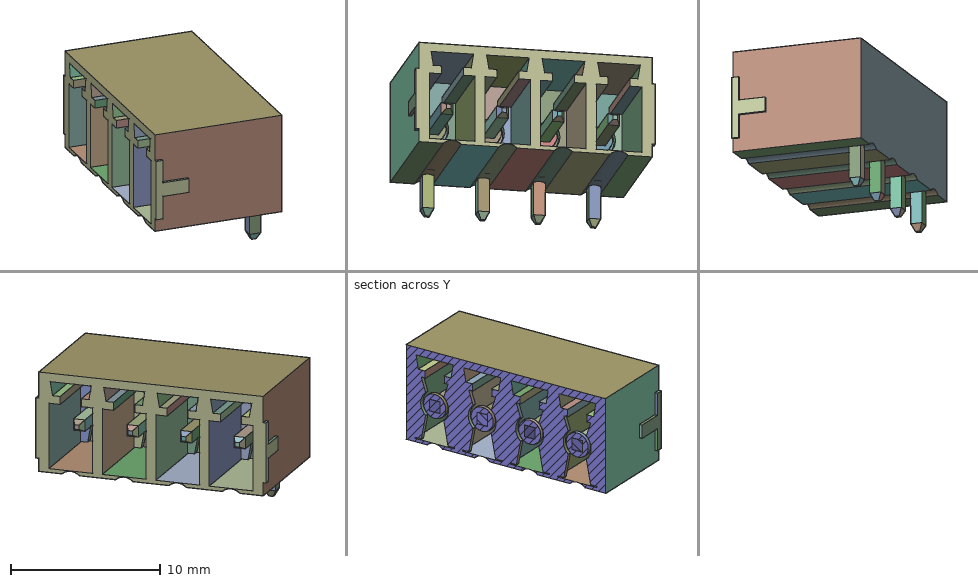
import cadquery as cq
import math


pin_count = 4
pitch = 3.81
pin_centers = [(i - (pin_count - 1) / 2) * pitch for i in range(pin_count)]

overall_width = 16.43
depth = 9.2
height = 7.0

ear_thickness = 0.21
ear_bar_depth = 0.5
ear_bar_bottom = 0.92
ear_bar_top = 5.16
ear_stem_depth = 2.38
ear_stem_height = 0.99
block_width = overall_width - 2 * ear_thickness

chamber_width = 3.12
chamber_bottom = 0.28
chamber_top = 4.88
neck_width = 1.51
neck_top = 5.44
keyway_bottom_width = 2.6
keyway_top_width = 2.92
keyway_top = 6.4
cavity_depth = 6.74

pad_thickness = 0.5
pad_bottom = 0.33
gap_end_width = 2.1
gap_waist_width = 1.41
gap_circle_diameter = 2.2

collar_diameter = 1.8

groove_diameter = 1.8
groove_height = 0.25

pin_size = 0.8
pin_tip_size = 0.31
pin_taper_length = 0.5
contact_z = 3.0
contact_tip_y = 1.2
leg_y = 8.03
leg_length = 2.61


def box(x_min, x_max, y_min, y_max, z_min, z_max):
    """Block given by its limits along each axis."""
    size = (x_max - x_min, y_max - y_min, z_max - z_min)
    return cq.Workplane("XY").box(*size, centered=False).translate((x_min, y_min, z_min))


def front_sketch(y):
    """Plane facing the mating side, with local axes X and Z; extrude backwards with a negative length."""
    return cq.Workplane("XZ", origin=(0, y, 0))


def make_ears():
    """T outlines spanning the full width, so that both ends stand proud of the block."""
    half = overall_width / 2
    ear_center = (ear_bar_bottom + ear_bar_top) / 2
    stem_bottom = ear_center - ear_stem_height / 2
    stem_top = ear_center + ear_stem_height / 2
    bar = box(-half, half, 0, ear_bar_depth, ear_bar_bottom, ear_bar_top)
    stem = box(-half, half, 0, ear_stem_depth, stem_bottom, stem_top)
    return bar.union(stem)


def make_pads():
    """Two pads that fill the chamber's back except for the hourglass gap and the circle in it."""
    pad_front = cavity_depth - pad_thickness
    half_chamber = chamber_width / 2
    half_end = gap_end_width / 2
    half_waist = gap_waist_width / 2
    circle_radius = gap_circle_diameter / 2
    waist_rise = math.sqrt(circle_radius**2 - half_waist**2)
    pad = (
        front_sketch(pad_front)
        .moveTo(half_chamber, pad_bottom)
        .lineTo(half_end, pad_bottom)
        .lineTo(half_waist, contact_z - waist_rise)
        .threePointArc((circle_radius, contact_z), (half_waist, contact_z + waist_rise))
        .lineTo(half_end, chamber_top)
        .lineTo(half_chamber, chamber_top)
        .close()
        .extrude(-pad_thickness)
    )
    return pad.union(pad.mirror("YZ"))


def make_collar():
    """Disc on the chamber's back wall, centred on the contact."""
    return (
        front_sketch(cavity_depth - pad_thickness)
        .center(0, contact_z)
        .circle(collar_diameter / 2)
        .extrude(-pad_thickness)
    )


def make_cavity():
    """Empty space of one position, around X = 0."""
    right_side = [
        (chamber_width / 2, chamber_bottom),
        (chamber_width / 2, chamber_top),
        (neck_width / 2, chamber_top),
        (neck_width / 2, neck_top),
        (keyway_bottom_width / 2, neck_top),
        (keyway_top_width / 2, keyway_top),
    ]
    left_side = [(-x, z) for x, z in reversed(right_side)]
    opening = front_sketch(0).polyline(right_side + left_side).close().extrude(-cavity_depth)
    return opening.cut(make_pads()).cut(make_collar())


def make_groove():
    """Cylinder whose top cuts a shallow groove along the whole underside."""
    radius = groove_diameter / 2
    return front_sketch(0).center(0, groove_height - radius).circle(radius).extrude(-depth)


def make_pin_tip(plane):
    """Truncated pyramid standing on the given plane, tapering from the pin size to the tip size."""
    base = plane.rect(pin_size, pin_size)
    return base.workplane(offset=pin_taper_length).rect(pin_tip_size, pin_tip_size).loft(combine=False)


def make_pin(x):
    """L-shaped square pin with both ends tapered; the contact points forward and the leg down."""
    half = pin_size / 2
    contact_shoulder = contact_tip_y + pin_taper_length
    leg_shoulder = pin_taper_length - leg_length
    contact = box(-half, half, contact_shoulder, leg_y + half, contact_z - half, contact_z + half)
    leg = box(-half, half, leg_y - half, leg_y + half, leg_shoulder, contact_z + half)
    contact_tip = make_pin_tip(front_sketch(contact_shoulder).center(0, contact_z))
    downward = cq.Workplane("XY", origin=(0, leg_y, leg_shoulder)).transformed(rotate=(180, 0, 0))
    leg_tip = make_pin_tip(downward)
    return contact.union(leg).union(contact_tip).union(leg_tip).translate((x, 0, 0))


def make_housing(pins):
    """Block with ears, one cavity and groove per position, and matching passages for the pins."""
    housing = box(-block_width / 2, block_width / 2, 0, depth, 0, height).union(make_ears())
    cavity = make_cavity()
    groove = make_groove()
    for x, pin in zip(pin_centers, pins):
        housing = housing.cut(cavity.translate((x, 0, 0)))
        housing = housing.cut(groove.translate((x, 0, 0)))
        housing = housing.cut(pin)
    return housing


pins = [make_pin(x) for x in pin_centers]
housing = make_housing(pins)

result = cq.Compound.makeCompound([housing.solids().val(), *[pin.solids().val() for pin in pins]])